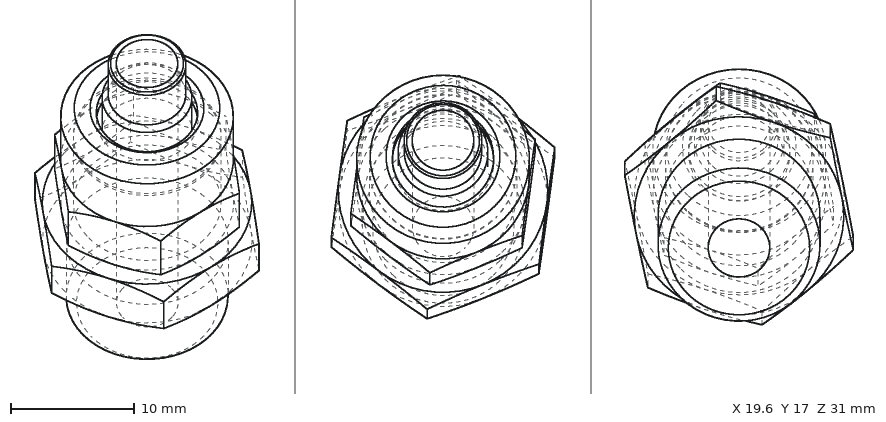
import cadquery as cq
import math

total_height = 31.0
flange_bottom = 8.0
flange_top = 13.0
nut_hex_top = 18.6
nut_top = 25.2
collar_top = 26.97

bore_dia = 5.0
tube_dia = 6.3
collar_dia = 7.3
boss_dia = 12.0
shank_dia = 13.15
flange_across_flats = 17.0
shank_chamfer = 0.85
tube_chamfer_height = 0.2
tube_chamfer_width = 0.2
collar_chamfer_height = 0.37

nut_across_flats = 14.0
nut_bore_dia = 8.2
nut_mouth_dia = 9.25
nut_top_dia = 11.8
nut_chamfer_height = 1.05

nut_cone_top = 23.55
boss_top = 21.4
stem_foot_fillet = 0.93

hex_chamfer_angle = 30.0

bore_r = bore_dia / 2
tube_r = tube_dia / 2
collar_r = collar_dia / 2
boss_r = boss_dia / 2
shank_r = shank_dia / 2
nut_r = nut_across_flats / 2
nut_bore_r = nut_bore_dia / 2
nut_mouth_r = nut_mouth_dia / 2


def revolve_about_z(points):
    """Turn a closed (radius, height) outline about the Z axis."""
    return cq.Workplane("XZ").polyline(points).close().revolve(360, (0, 0), (0, 1))


def chamfered_hex(across_flats, bottom, top):
    """Hexagon with corners on X, its corners cut by cones that touch the flats at both ends."""
    flat_r = across_flats / 2
    corner_r = flat_r / math.cos(math.radians(30))
    drop = (corner_r - flat_r) * math.tan(math.radians(hex_chamfer_angle))
    prism = cq.Workplane("XY").workplane(offset=bottom).polygon(6, 2 * corner_r).extrude(top - bottom)
    envelope = revolve_about_z([
        (0, bottom),
        (flat_r, bottom),
        (corner_r, bottom + drop),
        (corner_r, top - drop),
        (flat_r, top),
        (0, top),
    ])
    return prism.intersect(envelope)


def make_body():
    """Threaded shank, hex flange, boss inside the nut and hollow tube stem."""
    foot_r = collar_r + stem_foot_fillet
    foot_top = boss_top + stem_foot_fillet
    arc_inset = stem_foot_fillet * (1 - math.sqrt(0.5))
    turned = (
        cq.Workplane("XZ")
        .lineTo(shank_r - shank_chamfer, 0)
        .lineTo(shank_r, shank_chamfer)
        .lineTo(shank_r, flange_bottom)
        .lineTo(boss_r, flange_bottom)
        .lineTo(boss_r, boss_top)
        .lineTo(foot_r, boss_top)
        .threePointArc((collar_r + arc_inset, boss_top + arc_inset), (collar_r, foot_top))
        .lineTo(collar_r, collar_top - collar_chamfer_height)
        .lineTo(tube_r, collar_top)
        .lineTo(tube_r, total_height - tube_chamfer_height)
        .lineTo(tube_r - tube_chamfer_width, total_height)
        .lineTo(0, total_height)
        .close()
        .revolve(360, (0, 0), (0, 1))
    )
    flange = chamfered_hex(flange_across_flats, flange_bottom, flange_top)
    bore = cq.Workplane("XY").circle(bore_r).extrude(total_height)
    return turned.union(flange).cut(bore)


def make_nut():
    """Union nut with a hex skirt, a round head and a flared clamping mouth."""
    head = revolve_about_z([
        (0, nut_hex_top),
        (nut_r, nut_hex_top),
        (nut_r, nut_top - nut_chamfer_height),
        (nut_top_dia / 2, nut_top),
        (0, nut_top),
    ])
    skirt = chamfered_hex(nut_across_flats, flange_top, nut_hex_top)
    cavity = revolve_about_z([
        (0, flange_top),
        (boss_r, flange_top),
        (boss_r, nut_cone_top - (boss_r - nut_bore_r)),
        (nut_bore_r, nut_cone_top),
        (nut_bore_r, nut_top - (nut_mouth_r - nut_bore_r)),
        (nut_mouth_r, nut_top),
        (0, nut_top),
    ])
    return skirt.union(head).cut(cavity)


body = make_body()
nut = make_nut()

result = cq.Compound.makeCompound([body.val(), nut.val()])